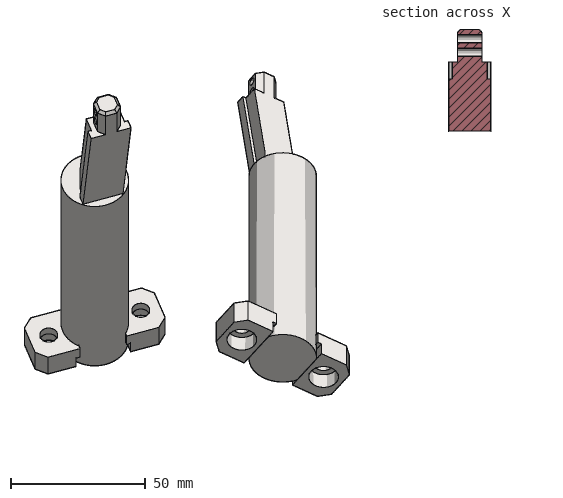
import cadquery as cq

total_height = 157.0

barrel_radius = 12.5
barrel_height = 94.8

lug_width = 19.8
lug_height = 10.0
lug_span = 51.0
lug_reach = lug_span / 2
lug_corner_cut = 3.8
lug_tongue_y = 9.1
lug_shoulder_y = 10.7
lug_shoulder_height = lug_height / 2
lug_hole_diameter = 6.6
lug_hole_y = 18.0
lug_hole_land = 3.5
lug_counterbore_diameter = 11.0

arm_top_z = 144.9
arm_lean = 9.3
arm_top_right_x = 18.7
arm_top_left_x = 9.3
arm_foot_left_x = 1.9
arm_web_width = 13.0
arm_flange_width = 15.7
arm_flange_thickness = 3.6

tip_length_x = arm_top_right_x - arm_top_left_x
tip_length_y = 9.1
tip_corner_cut = 2.4
tip_top_chamfer = 1.1
tip_center_x = (arm_top_left_x + arm_top_right_x) / 2
tip_hole_diameter = 2.8
tip_hole_heights = (148.5, 153.5)


def extrude_across_y(points, width):
    """Extrude an XZ outline to a width centred on Y = 0."""
    return cq.Workplane("XZ").polyline(points).close().extrude(width / 2, both=True)


def make_lug(side):
    """Stepped lug with cut outer corners and a hole counterbored from below; side is +1 or -1 along Y."""
    length = lug_reach - lug_tongue_y
    lug = (
        cq.Workplane("XY")
        .box(lug_width, length, lug_height, centered=(True, False, False))
        .translate((0, lug_tongue_y, 0))
        .edges("|Z and >Y")
        .chamfer(lug_corner_cut)
    )
    step = (
        cq.Workplane("XY")
        .box(lug_width, lug_shoulder_y - lug_tongue_y, lug_shoulder_height, centered=(True, False, False))
        .translate((0, lug_tongue_y, 0))
    )
    hole = cq.Workplane("XY").center(0, lug_hole_y).circle(lug_hole_diameter / 2).extrude(lug_height)
    counterbore = (
        cq.Workplane("XY")
        .center(0, lug_hole_y)
        .circle(lug_counterbore_diameter / 2)
        .extrude(lug_height - lug_hole_land)
    )
    lug = lug.cut(step).cut(hole).cut(counterbore)
    if side < 0:
        lug = lug.mirror("XZ")
    return lug


def make_arm():
    """Leaning web with a wider flange along its +X side."""
    foot_right_x = arm_top_right_x - arm_lean
    bend_drop = (arm_top_left_x - arm_foot_left_x) * (arm_top_z - barrel_height) / arm_lean
    web = extrude_across_y(
        [
            (arm_foot_left_x, barrel_height),
            (foot_right_x, barrel_height),
            (arm_top_right_x, arm_top_z),
            (arm_top_left_x, arm_top_z),
            (arm_foot_left_x, arm_top_z - bend_drop),
        ],
        arm_web_width,
    )
    flange = extrude_across_y(
        [
            (foot_right_x - arm_flange_thickness, barrel_height),
            (foot_right_x, barrel_height),
            (arm_top_right_x, arm_top_z),
            (arm_top_right_x - arm_flange_thickness, arm_top_z),
        ],
        arm_flange_width,
    )
    return web.union(flange)


def make_tip():
    """Upright tip drilled through along Y."""
    tip = (
        cq.Workplane("XY")
        .box(tip_length_x, tip_length_y, total_height - arm_top_z, centered=(True, True, False))
        .edges("|Z")
        .chamfer(tip_corner_cut)
        .faces(">Z")
        .chamfer(tip_top_chamfer)
        .translate((tip_center_x, 0, arm_top_z))
    )
    hole_centers = [(tip_center_x, z) for z in tip_hole_heights]
    holes = (
        cq.Workplane("XZ")
        .pushPoints(hole_centers)
        .circle(tip_hole_diameter / 2)
        .extrude(tip_length_y, both=True)
    )
    return tip.cut(holes)


def make_housing(lugs):
    """Barrel, arm and tip in one piece, with seats that match the lugs."""
    housing = cq.Workplane("XY").circle(barrel_radius).extrude(barrel_height)
    housing = housing.union(make_arm()).union(make_tip())
    for lug in lugs:
        housing = housing.cut(lug)
    return housing


lugs = [make_lug(side) for side in (-1, 1)]
housing = make_housing(lugs)

result = cq.Compound.makeCompound([housing.val(), *[lug.val() for lug in lugs]])